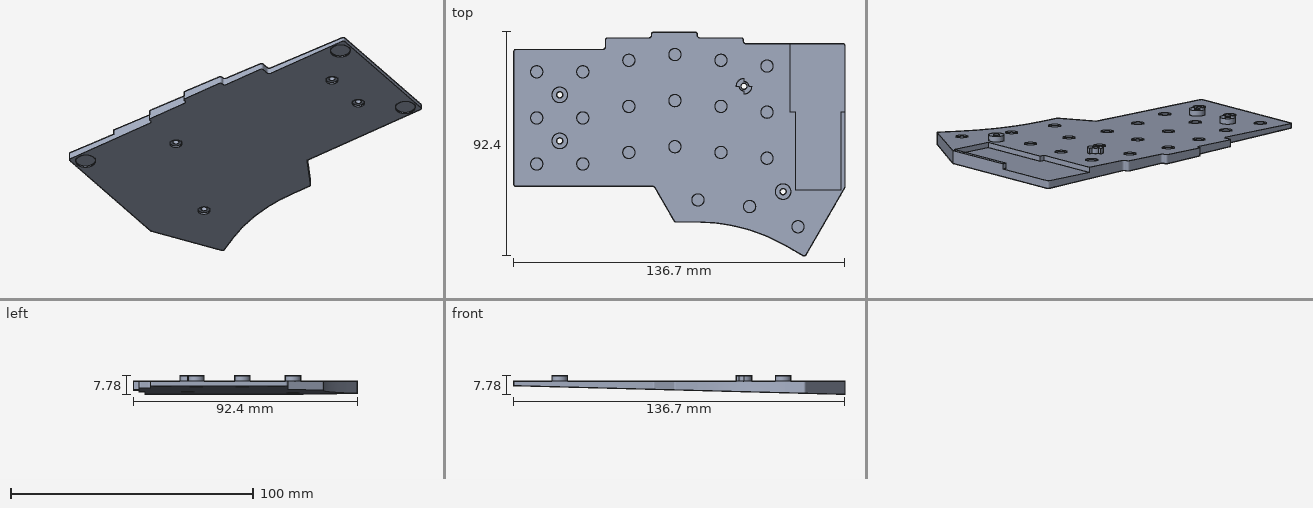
import cadquery as cq
import math


key_pitch = 19.0
key_rows = 3
stagger_step = key_pitch / 8
column_steps = [0, 0, 2, 3, 2, 1]
grid_top = key_rows * key_pitch
board_left = len(column_steps) * key_pitch

outline_inset = 0.2

plate_length = 136.7
left_thickness = 1.9
underside_angle = 1.5
corner_radius = 1.0

thumb_start_x = 58.0
thumb_edge_y = -14.5
thumb_side_angle = 60
fan_angle = 30
fan_radius = 72.2
fan_start_x = 4 * key_pitch
tip_length = 9.3

key_recess_diameter = 5.0
key_recess_depth = 0.5
thumb_keys = [(4 * key_pitch, -5.3), (97.3, -8.0), (117.3, -16.4)]

pocket_depth = 2.2
pocket_shoulder_y = 31.0
pocket_bottom_y = -1.2
pocket_left_step = 2.2
rail_width = 1.8

boss_diameter = 6.4
boss_height = 2.3
boss_core_diameter = 4.0
screw_diameter = 2.5
screw_head_diameter = 5.0
screw_head_depth = 0.8
quartered_boss = (5 * key_pitch, 41.5)
round_bosses = [(key_pitch, key_pitch), (key_pitch, 2 * key_pitch), (111.1, -1.9)]

foot_diameter = 8.2
foot_depth = 0.7
foot_inset = 5.0

underside_slope = math.tan(math.radians(underside_angle))
right_thickness = left_thickness + plate_length * underside_slope


def column_top(column):
    """Y of the upper key grid line of a column."""
    return grid_top + column_steps[column] * stagger_step


def edge_top(column):
    """Y of the plate edge above a column."""
    return column_top(column) - outline_inset


board_top = edge_top(-1)
fan_end_x = fan_start_x + fan_radius * math.sin(math.radians(fan_angle))
fan_end_y = thumb_edge_y - fan_radius * (1 - math.cos(math.radians(fan_angle)))
fan_middle_x = fan_start_x + fan_radius * math.sin(math.radians(fan_angle / 2))
fan_middle_y = thumb_edge_y - fan_radius * (1 - math.cos(math.radians(fan_angle / 2)))
side_slope = math.tan(math.radians(thumb_side_angle))
thumb_corner_x = thumb_start_x + (outline_inset - thumb_edge_y) / side_slope
tip_x = fan_end_x + tip_length * math.cos(math.radians(fan_angle))
tip_y = fan_end_y - tip_length * math.sin(math.radians(fan_angle))
right_corner_y = tip_y + (plate_length - tip_x) * side_slope


def outline():
    """Plate outline, counterclockwise from the lower left corner."""
    sketch = (
        cq.Workplane("XY")
        .moveTo(0, outline_inset)
        .lineTo(thumb_start_x, outline_inset)
        .lineTo(thumb_corner_x, thumb_edge_y)
        .lineTo(fan_start_x, thumb_edge_y)
        .threePointArc((fan_middle_x, fan_middle_y), (fan_end_x, fan_end_y))
        .lineTo(tip_x, tip_y)
        .lineTo(plate_length, right_corner_y)
        .lineTo(plate_length, board_top)
    )
    for column in range(len(column_steps) - 1, 0, -1):
        if column_steps[column] != column_steps[column - 1]:
            step_x = column * key_pitch - outline_inset
            sketch = sketch.lineTo(step_x, edge_top(column)).lineTo(step_x, edge_top(column - 1))
    return sketch.lineTo(0, edge_top(0)).close()


def below_slope(depth):
    """Block whose sloped top face lies the given depth above the underside of the plate."""
    return (
        cq.Workplane("XZ")
        .moveTo(0, depth - left_thickness)
        .lineTo(plate_length, depth - right_thickness)
        .lineTo(plate_length, -2 * right_thickness)
        .lineTo(0, -2 * right_thickness)
        .close()
        .extrude(plate_length, both=True)
    )


def underside_recess(points, diameter, depth):
    """Round recesses with a floor parallel to the sloped underside."""
    cylinders = cq.Workplane("XY").pushPoints(points).circle(diameter / 2).extrude(-2 * right_thickness)
    return cylinders.intersect(below_slope(depth))


def vertical_edges_at(points):
    """Selector for the vertical plate edges standing at the given outline points."""
    selector = None
    for x, y in points:
        box = cq.selectors.BoxSelector(
            (x - corner_radius, y - corner_radius, -right_thickness),
            (x + corner_radius, y + corner_radius, 0),
        )
        selector = box if selector is None else selector + box
    return selector


plate = outline().extrude(-right_thickness)
sharp_points = [(fan_start_x, thumb_edge_y), (fan_end_x, fan_end_y), (plate_length, right_corner_y)]
plate = plate.edges(cq.selectors.ParallelDirSelector(cq.Vector(0, 0, 1)) - vertical_edges_at(sharp_points))
plate = plate.fillet(corner_radius).cut(below_slope(0))

key_centers = list(thumb_keys)
for column in range(len(column_steps)):
    for row in range(key_rows):
        key_centers.append(((column + 0.5) * key_pitch, column_top(column) - (row + 0.5) * key_pitch))
plate = plate.cut(
    cq.Workplane("XY").pushPoints(key_centers).circle(key_recess_diameter / 2).extrude(-key_recess_depth)
)

narrow_left = board_left + pocket_left_step
narrow_right = plate_length - rail_width
pocket = (
    cq.Workplane("XY")
    .moveTo(narrow_left, pocket_bottom_y)
    .lineTo(narrow_right, pocket_bottom_y)
    .lineTo(narrow_right, pocket_shoulder_y)
    .lineTo(plate_length, pocket_shoulder_y)
    .lineTo(plate_length, board_top)
    .lineTo(board_left, board_top)
    .lineTo(board_left, pocket_shoulder_y)
    .lineTo(narrow_left, pocket_shoulder_y)
    .close()
    .extrude(-pocket_depth)
)
plate = plate.cut(pocket)

bosses = cq.Workplane("XY").pushPoints(round_bosses).circle(boss_diameter / 2).extrude(boss_height)
quadrant_offset = boss_diameter / 2
quadrants = (
    cq.Workplane("XY")
    .center(*quartered_boss)
    .pushPoints([(-quadrant_offset, quadrant_offset), (quadrant_offset, -quadrant_offset)])
    .rect(boss_diameter, boss_diameter)
    .extrude(boss_height)
)
full_boss = cq.Workplane("XY").center(*quartered_boss).circle(boss_diameter / 2).extrude(boss_height)
core = cq.Workplane("XY").center(*quartered_boss).circle(boss_core_diameter / 2).extrude(boss_height)
plate = plate.union(bosses).union(full_boss.intersect(quadrants).union(core))

screws = round_bosses + [quartered_boss]
screw_holes = (
    cq.Workplane("XY")
    .workplane(offset=boss_height)
    .pushPoints(screws)
    .circle(screw_diameter / 2)
    .extrude(-boss_height - right_thickness)
)
plate = plate.cut(screw_holes).cut(underside_recess(screws, screw_head_diameter, screw_head_depth))

feet = [
    (foot_inset, foot_inset),
    (foot_inset, grid_top - foot_inset),
    (plate_length - foot_inset, board_top - foot_inset),
]
result = plate.cut(underside_recess(feet, foot_diameter, foot_depth))